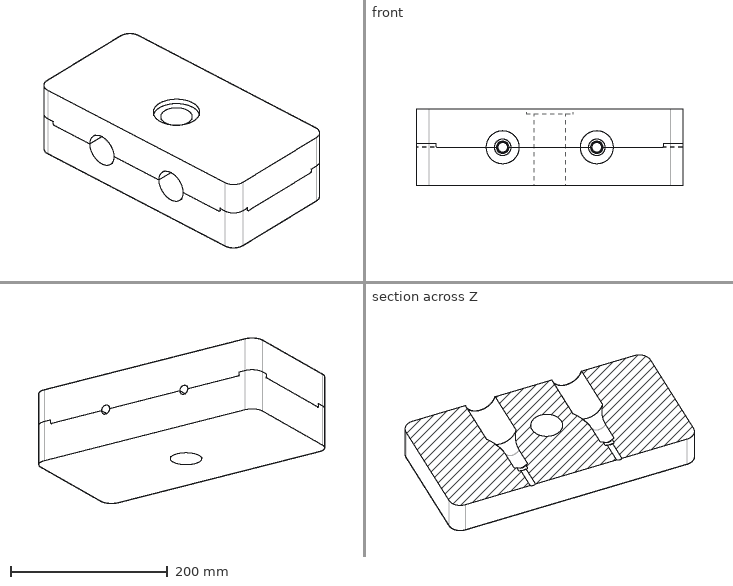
import cadquery as cq
import math

length = 340.0
width = 170.0
height = 98.0
corner_radius = 16.0

part_level = height / 2
pad_side = 25.0
pad_height = 5.0
root_bevel = 1.0

bore_y = -10.0
bore_radius = 20.0
counterbore_radius = 29.5
counterbore_depth = 6.8

passage_spacing = 120.0
mouth_radius = 21.0
mouth_depth = 68.0
neck_radius = 10.5
neck_length = 27.2
shoulder_arc_angle = math.radians(33)
seat_radius = 7.8
seat_cone_angle = math.radians(27)
seat_depth = 6.8
throat_radius = 6.0


def slab(bottom, top):
    """Round-cornered slab between two heights."""
    blank = cq.Workplane("XY", origin=(0, 0, bottom)).rect(length, width).extrude(top - bottom)
    return blank.edges("|Z").fillet(corner_radius)


def corner_squares(side):
    """Squares on the flat parting level, one centred on each sharp corner of the block."""
    corners = cq.Workplane("XY", origin=(0, 0, part_level)).rect(length, width, forConstruction=True)
    return corners.vertices().rect(2 * side, 2 * side)


def corner_pads():
    """Four pads with a 45 degree bevel at the root, trimmed to the rounded block corners."""
    pads = corner_squares(pad_side).extrude(pad_height)
    roots = corner_squares(pad_side + root_bevel).extrude(root_bevel, taper=45)
    return pads.union(roots).intersect(slab(part_level, part_level + pad_height))


def counterbored_bore():
    """Vertical bore through both halves, widened at the top of the cover."""
    bore = cq.Workplane("XY", origin=(0, bore_y, 0)).circle(bore_radius).extrude(height)
    recess = (
        cq.Workplane("XY", origin=(0, bore_y, height))
        .circle(counterbore_radius)
        .extrude(-counterbore_depth)
    )
    return bore.union(recess)


def passage(x):
    """Revolved passage: wide mouth at the front, flared shoulder, neck, seat and throat."""
    arc_radius = (mouth_radius - neck_radius) / (1 - math.cos(shoulder_arc_angle))
    arc_length_y = arc_radius * math.sin(shoulder_arc_angle)
    half_angle = shoulder_arc_angle / 2

    front_y = -width / 2
    shoulder_y = front_y + mouth_depth
    neck_y = shoulder_y + arc_length_y
    cone_y = neck_y + neck_length
    seat_y = cone_y + (neck_radius - seat_radius) * math.tan(seat_cone_angle)
    throat_y = seat_y + seat_depth
    back_y = width / 2
    arc_middle = (
        neck_radius + arc_radius * (1 - math.cos(half_angle)),
        neck_y - arc_radius * math.sin(half_angle),
    )
    return (
        cq.Workplane("XY")
        .moveTo(0, front_y)
        .lineTo(mouth_radius, front_y)
        .lineTo(mouth_radius, shoulder_y)
        .threePointArc(arc_middle, (neck_radius, neck_y))
        .lineTo(neck_radius, cone_y)
        .lineTo(seat_radius, seat_y)
        .lineTo(seat_radius, throat_y)
        .lineTo(throat_radius, throat_y)
        .lineTo(throat_radius, back_y)
        .lineTo(0, back_y)
        .close()
        .revolve(360, (0, 0, 0), (0, 1, 0))
        .translate((x, 0, part_level))
    )


def cut_openings(half):
    """Cut the bore and both passages out of one half of the block."""
    half = half.cut(counterbored_bore())
    for side in (-1, 1):
        half = half.cut(passage(side * passage_spacing / 2))
    return half


def make_base():
    """Lower half, carrying the corner pads."""
    return cut_openings(slab(0, part_level).union(corner_pads()))


def make_cover():
    """Upper half, notched at its corners to fit over the pads."""
    return cut_openings(slab(part_level, height).cut(corner_pads()))


base = make_base()
cover = make_cover()
result = cq.Compound.makeCompound([base.val(), cover.val()])